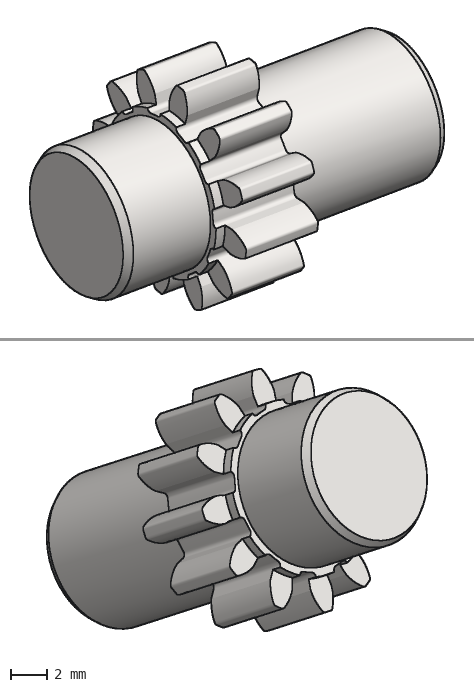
import cadquery as cq
import math

length = 22.35
shaft_diameter = 9.0
chamfer_length = 0.5
chamfer_angle = 30.0

tooth_count = 12
pitch_diameter = 12.0
pressure_angle = 20.0
tip_diameter = 13.9
root_diameter = 9.5
root_fillet = 0.3
tip_fillet = 0.2
base_half_angle = 8.2
tooth_phase = 8.2
clearance = 0.45

front_journal_length = 5.85
hub_diameter = 10.01
hub_length = 0.63
face_width = 5.0

front_y = -length / 2
hub_front_y = front_y + front_journal_length
gear_length = hub_length + face_width

base_radius = pitch_diameter / 2 * math.cos(math.radians(pressure_angle))
tip_radius = tip_diameter / 2
root_radius = root_diameter / 2
tooth_pitch = 360.0 / tooth_count


def polar(radius, angle):
    """Point at an angle in degrees measured from the vertical toward +X."""
    a = math.radians(angle)
    return (radius * math.sin(a), radius * math.cos(a))


def half_angle(radius):
    """Half the tooth's angular width at a radius on the involute."""
    roll = math.acos(base_radius / radius)
    return base_half_angle - math.degrees(math.tan(roll) - roll)


def cylinder(diameter, start_y, height):
    """Cylinder on the Y axis that grows toward +Y."""
    plane = cq.Workplane("XZ", origin=(0, start_y, 0))
    return plane.circle(diameter / 2).extrude(-height)


def make_shaft():
    """Plain shaft with a chamfer at each end."""
    chamfer_depth = chamfer_length * math.tan(math.radians(chamfer_angle))
    radius = shaft_diameter / 2
    end_radius = radius - chamfer_depth
    back_y = front_y + length
    profile = (
        cq.Workplane("XY")
        .moveTo(0, front_y)
        .lineTo(end_radius, front_y)
        .lineTo(radius, front_y + chamfer_length)
        .lineTo(radius, back_y - chamfer_length)
        .lineTo(end_radius, back_y)
        .lineTo(0, back_y)
        .close()
    )
    return profile.revolve(360, (0, 0), (0, 1))


def make_tooth():
    """One upright tooth: radial flanks up to the base circle, arcs that follow the involute above it."""
    foot_radius = shaft_diameter / 2
    mid_radius = (base_radius + tip_radius) / 2
    radii = (base_radius, mid_radius, tip_radius)
    right_base, right_mid, right_tip = [polar(r, half_angle(r)) for r in radii]
    left_base, left_mid, left_tip = [polar(r, -half_angle(r)) for r in radii]
    tooth = (
        cq.Workplane("XZ", origin=(0, hub_front_y, 0))
        .moveTo(*polar(foot_radius, base_half_angle))
        .lineTo(*right_base)
        .threePointArc(right_mid, right_tip)
        .threePointArc((0, tip_radius), left_tip)
        .threePointArc(left_mid, left_base)
        .lineTo(*polar(foot_radius, -base_half_angle))
        .close()
        .extrude(-gear_length)
    )
    return tooth.edges("|Y").edges(">Z").fillet(tip_fillet)


def make_gear():
    """Toothed ring with filleted roots, its front end cut down to the hub diameter."""
    gear = cylinder(root_diameter, hub_front_y, gear_length)
    tooth = make_tooth()
    for i in range(tooth_count):
        gear = gear.union(tooth.rotate((0, 0, 0), (0, 1, 0), tooth_phase + i * tooth_pitch))

    tolerance = 0.011

    def on_root_circle(edge):
        center = edge.Center()
        return abs(math.hypot(center.x, center.z) - root_radius) < tolerance

    gear = gear.edges("|Y").filter(on_root_circle).fillet(root_fillet)

    front_ring = cylinder(tip_diameter + clearance, hub_front_y, hub_length)
    front_ring = front_ring.cut(cylinder(hub_diameter, hub_front_y, hub_length))
    return gear.cut(front_ring)


result = make_shaft().union(make_gear())